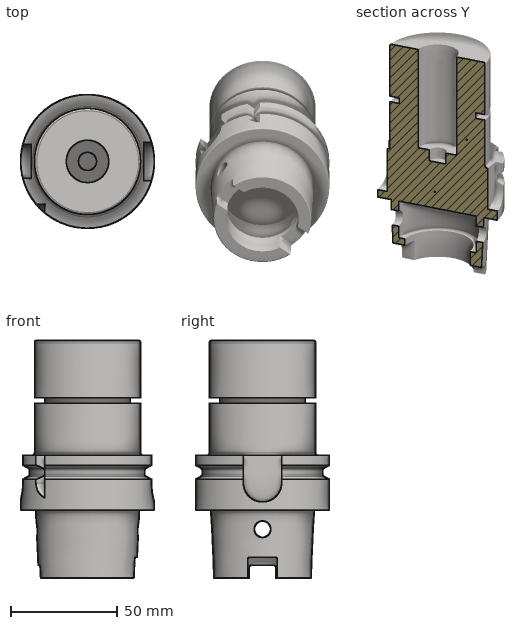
import cadquery as cq
import math


total_height = 112.0
flange_bottom = 32.0
flange_top = 58.0

shank_top_radius = 24.4
shank_end_radius = 23.0
shank_chamfer = 0.5

flange_radius = 31.5
flange_edge_fillet = 0.6
groove_centre = 50.0
groove_mouth = 6.7
groove_floor_radius = 28.5
groove_flank_angle = 30.0
groove_fillet = 0.8

body_radius = 25.0
body_top_fillet = 1.0
body_base_fillet = 1.0
relief_radius = 20.2
relief_bottom = 82.4
relief_top = 85.0

tool_bore_radius = 10.0
tool_bore_depth = 50.4
centre_hole_radius = 4.3
centre_hole_depth = 5.6
shank_mouth_radius = 17.0
shank_mouth_depth = 13.4
shank_cavity_radius = 20.2
shank_cavity_top = flange_bottom

slot_floor_distance = 26.4
slot_end_centre = 45.0
left_slot_width = 16.0
right_slot_width = 18.0
notch_corner = 20.0

left_keyway_width = 12.5
right_keyway_width = 14.0
keyway_corner_radius = 1.0
left_keyway_depth = 6.2
right_keyway_depth = 10.0
cross_hole_radius = 3.8
cross_hole_height = 23.2


def cylinder(radius, bottom, top):
    return cq.Workplane("XY").workplane(offset=bottom).circle(radius).extrude(top - bottom)


def make_shank():
    profile = [
        (0, 0),
        (shank_end_radius - shank_chamfer, 0),
        (shank_end_radius, shank_chamfer),
        (shank_top_radius, flange_bottom),
        (0, flange_bottom),
    ]
    return cq.Workplane("XZ").polyline(profile).close().revolve(360, (0, 0), (0, 1))


def make_flange():
    disc = cylinder(flange_radius, flange_bottom, flange_top)
    disc = disc.faces("<Z").edges().fillet(flange_edge_fillet)
    flank_rise = (flange_radius - groove_floor_radius) * math.tan(math.radians(groove_flank_angle))
    half_mouth = groove_mouth / 2
    half_floor = half_mouth - flank_rise
    groove_section = [
        (flange_radius, groove_centre - half_mouth),
        (groove_floor_radius, groove_centre - half_floor),
        (groove_floor_radius, groove_centre + half_floor),
        (flange_radius, groove_centre + half_mouth),
    ]
    groove = cq.Workplane("XZ").polyline(groove_section).close().revolve(360, (0, 0), (0, 1))
    floor_edges = cq.selectors.RadiusNthSelector(0)
    groove = groove.edges(floor_edges).fillet(groove_fillet)
    return disc.cut(groove)


def make_body():
    body = cylinder(body_radius, flange_top, total_height)
    body = body.faces(">Z").edges().fillet(body_top_fillet)
    ring = cylinder(body_radius, relief_bottom, relief_top).cut(
        cylinder(relief_radius, relief_bottom, relief_top)
    )
    return body.cut(ring)


def make_base_fillet():
    """Disc with a concave rim blending the body into the flange top."""
    outer = body_radius + body_base_fillet
    arc_offset = body_base_fillet * (1 - math.sqrt(0.5))
    return (
        cq.Workplane("XZ")
        .moveTo(0, flange_top)
        .lineTo(outer, flange_top)
        .threePointArc(
            (body_radius + arc_offset, flange_top + arc_offset),
            (body_radius, flange_top + body_base_fillet),
        )
        .lineTo(0, flange_top + body_base_fillet)
        .close()
        .revolve(360, (0, 0), (0, 1))
    )


def round_slot(width, centre_y, inner_x, side):
    """Slot open at the flange top with a half-round lower end, cut outward from inner_x."""
    half = width / 2
    reach = side * (flange_radius - abs(inner_x))
    return (
        cq.Workplane("YZ", origin=(inner_x, centre_y, 0))
        .moveTo(-half, flange_top)
        .lineTo(-half, slot_end_centre)
        .threePointArc((0, slot_end_centre - half), (half, slot_end_centre))
        .lineTo(half, flange_top)
        .close()
        .extrude(reach)
    )


def keyway(width, depth, side):
    """Drive keyway open at the shank end, cut from the axis out to one side."""
    length = shank_top_radius
    block = cq.Workplane("XY").box(length, width, depth, centered=(True, True, False))
    block = block.faces(">Z").edges("|X").fillet(keyway_corner_radius)
    return block.translate((side * length / 2, 0, 0))


result = make_shank().union(make_flange()).union(make_body()).union(make_base_fillet())

tool_bore_floor = total_height - tool_bore_depth
result = result.cut(cylinder(tool_bore_radius, tool_bore_floor, total_height))
result = result.cut(cylinder(centre_hole_radius, tool_bore_floor - centre_hole_depth, tool_bore_floor))
result = result.cut(cylinder(shank_mouth_radius, 0, shank_mouth_depth))
result = result.cut(cylinder(shank_cavity_radius, shank_mouth_depth, shank_cavity_top))

result = result.cut(round_slot(left_slot_width, 0, -slot_floor_distance, -1))
result = result.cut(round_slot(right_slot_width, 0, slot_floor_distance, 1))
notch_centre_y = -notch_corner - left_slot_width / 2
result = result.cut(round_slot(left_slot_width, notch_centre_y, -notch_corner, -1))

result = result.cut(keyway(left_keyway_width, left_keyway_depth, -1))
result = result.cut(keyway(right_keyway_width, right_keyway_depth, 1))
cross_hole = (
    cq.Workplane("YZ", origin=(0, 0, cross_hole_height))
    .circle(cross_hole_radius)
    .extrude(shank_top_radius, both=True)
)
result = result.cut(cross_hole)